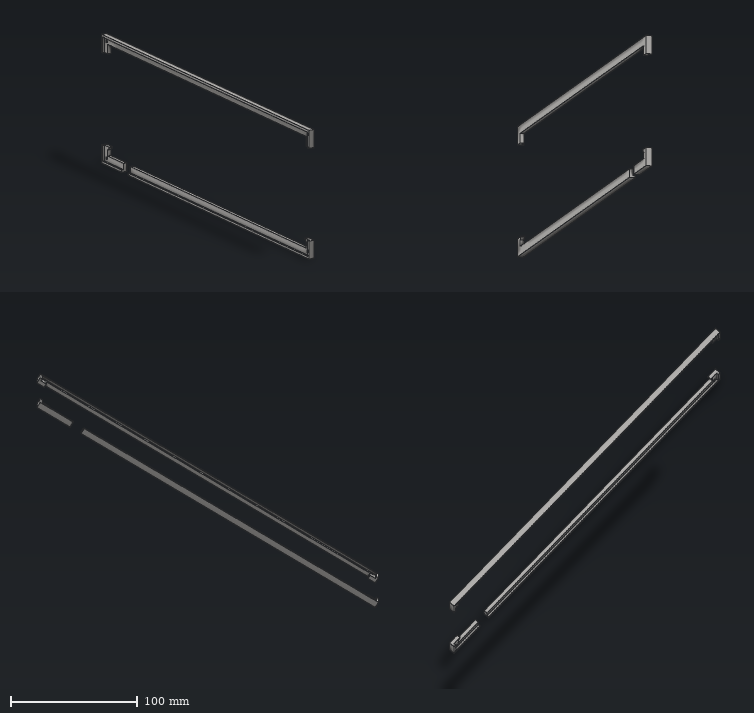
import cadquery as cq

LENGTH = 313.5
DEPTH = 5.0
HEIGHT = 106.5

RAIL_HEIGHT = 7.2
LEG_WIDTH = 7.0
LEG_HEIGHT = 15.0
RIM_WIDTH = 2.0
RECESS_DEPTH = 1.75

HOLE_DIAMETER = 2.0
HOLE_DEPTH = 1.5
HOLE_INSET = 5.0

HOOK_REACH = 2.2
HOOK_LIP = 0.5

GAP_START = 30.7
GAP_END = 40.8

HALF_LENGTH = LENGTH / 2
HALF_HEIGHT = HEIGHT / 2
FRONT_Y = -DEPTH / 2


def block(x_min, x_max, z_min, z_max):
    """Rectangular block over the full depth."""
    box = cq.Workplane("XY").box(x_max - x_min, DEPTH, z_max - z_min, centered=False)
    return box.translate((x_min, FRONT_Y, z_min))


def corner_hole():
    """Cutter for the blind hole, sunk below the recessed front face, at the lower left corner."""
    return (
        cq.Workplane("XZ", origin=(0, FRONT_Y + RECESS_DEPTH + HOLE_DEPTH, 0))
        .center(-HALF_LENGTH + HOLE_INSET, -HALF_HEIGHT + HOLE_INSET)
        .circle(HOLE_DIAMETER / 2)
        .extrude(HOLE_DEPTH)
    )


def hook():
    """Lower left hook, flush with the recessed front face and sloped underneath."""
    leg_x = -HALF_LENGTH + LEG_WIDTH
    top_z = -HALF_HEIGHT + LEG_HEIGHT
    return (
        cq.Workplane("XZ", origin=(0, DEPTH / 2, 0))
        .moveTo(leg_x, top_z)
        .lineTo(leg_x + HOOK_REACH, top_z)
        .lineTo(leg_x + HOOK_REACH, top_z - HOOK_LIP)
        .lineTo(leg_x, top_z - HOOK_LIP - HOOK_REACH)
        .close()
        .extrude(DEPTH - RECESS_DEPTH)
    )


def rail_with_legs():
    """Full-length lower rail with upright legs, an outer front rim and corner holes."""
    bottom = -HALF_HEIGHT
    leg_top = bottom + LEG_HEIGHT
    rail = block(-HALF_LENGTH, HALF_LENGTH, bottom, bottom + RAIL_HEIGHT)
    leg = block(-HALF_LENGTH, -HALF_LENGTH + LEG_WIDTH, bottom, leg_top)
    rail = rail.union(leg).union(leg.mirror("YZ"))
    recess = block(
        -HALF_LENGTH + RIM_WIDTH, HALF_LENGTH - RIM_WIDTH, bottom + RIM_WIDTH, leg_top
    ).translate((0, RECESS_DEPTH - DEPTH, 0))
    hole = corner_hole()
    return rail.cut(recess).cut(hole).cut(hole.mirror("YZ"))


def make_upper_rail():
    """Uninterrupted rail with downward legs and no hooks."""
    return rail_with_legs().mirror("XY")


def make_lower_rail_piece(x_min, x_max):
    """Stretch of the hooked lower rail between two X positions."""
    left_hook = hook()
    hooked_rail = rail_with_legs().union(left_hook).union(left_hook.mirror("YZ"))
    return hooked_rail.intersect(block(x_min, x_max, -HALF_HEIGHT, HALF_HEIGHT))


upper_rail = make_upper_rail()
lower_short_rail = make_lower_rail_piece(-HALF_LENGTH, -HALF_LENGTH + GAP_START)
lower_long_rail = make_lower_rail_piece(-HALF_LENGTH + GAP_END, HALF_LENGTH)

result = cq.Compound.makeCompound(
    [upper_rail.val(), lower_short_rail.val(), lower_long_rail.val()]
)